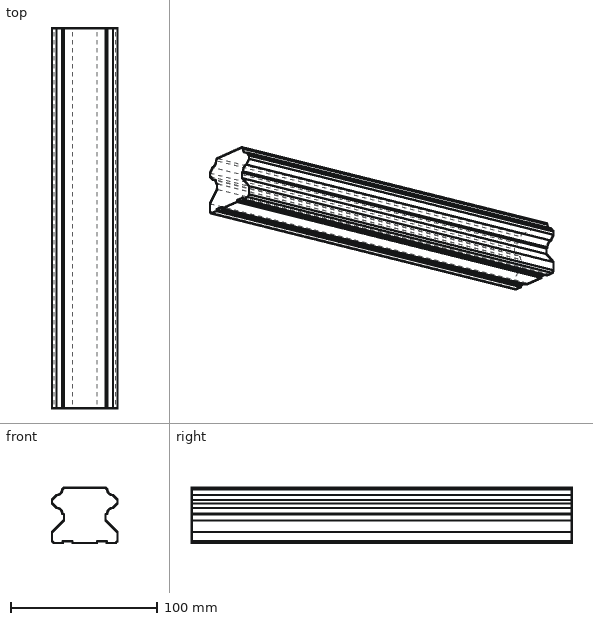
import cadquery as cq
import math

RAIL_WIDTH = 45.0
RAIL_LENGTH = 260.0
RAIL_HEIGHT = 38.0

HEAD_TOP_WIDTH = 28.7
RACE_EDGE_WIDTH = 30.8
HEAD_LIP_HEIGHT = 1.3
HEAD_FLAT_TOP = 29.65
HEAD_FLAT_BOTTOM = 27.25
HEAD_BEVEL = 3.25

WAIST_TOP = 19.6
FOOT_FLAT_TOP = 7.45
FOOT_CHAMFER = 1.5

RACE_RADIUS = 3.85

RELIEF_INNER = 8.5
RELIEF_OUTER = 15.0
RELIEF_DEPTH = 1.2

half_width = RAIL_WIDTH / 2
half_waist = HEAD_TOP_WIDTH / 2
half_race_edge = RACE_EDGE_WIDTH / 2
head_middle = (HEAD_FLAT_TOP + HEAD_FLAT_BOTTOM) / 2
race_edge_top = RAIL_HEIGHT - HEAD_LIP_HEIGHT
race_edge_bottom = 2 * head_middle - race_edge_top
bevel_x = half_width - HEAD_BEVEL
waist_bottom = FOOT_FLAT_TOP + half_width - half_waist

upper_race_start = (half_race_edge, race_edge_top)
upper_race_end = (bevel_x, HEAD_FLAT_TOP + HEAD_BEVEL)
lower_race_start = (bevel_x, HEAD_FLAT_BOTTOM - HEAD_BEVEL)
lower_race_end = (half_race_edge, race_edge_bottom)


def race_midpoint(start, end, bulge_z_sign):
    """Middle point of a raceway arc bulging into the rail: toward -X, and up or down by the sign."""
    run = end[0] - start[0]
    rise = end[1] - start[1]
    chord = math.hypot(run, rise)
    sagitta = RACE_RADIUS - math.sqrt(RACE_RADIUS**2 - (chord / 2) ** 2)
    middle_x = (start[0] + end[0]) / 2
    middle_z = (start[1] + end[1]) / 2
    return (
        middle_x - sagitta * abs(rise) / chord,
        middle_z + bulge_z_sign * sagitta * abs(run) / chord,
    )


def make_half_rail():
    """Right half of the rail, extruded along Y and centred on the origin."""
    upper_middle = race_midpoint(upper_race_start, upper_race_end, -1)
    lower_middle = race_midpoint(lower_race_start, lower_race_end, 1)
    return (
        cq.Workplane("XZ")
        .moveTo(0, RAIL_HEIGHT)
        .lineTo(half_waist, RAIL_HEIGHT)
        .lineTo(*upper_race_start)
        .threePointArc(upper_middle, upper_race_end)
        .lineTo(half_width, HEAD_FLAT_TOP)
        .lineTo(half_width, HEAD_FLAT_BOTTOM)
        .lineTo(*lower_race_start)
        .threePointArc(lower_middle, lower_race_end)
        .lineTo(half_waist, WAIST_TOP)
        .lineTo(half_waist, waist_bottom)
        .lineTo(half_width, FOOT_FLAT_TOP)
        .lineTo(half_width, FOOT_CHAMFER)
        .lineTo(half_width - FOOT_CHAMFER, 0)
        .lineTo(RELIEF_OUTER, 0)
        .lineTo(RELIEF_OUTER, RELIEF_DEPTH)
        .lineTo(RELIEF_INNER, RELIEF_DEPTH)
        .lineTo(RELIEF_INNER, 0)
        .lineTo(0, 0)
        .close()
        .extrude(RAIL_LENGTH / 2, both=True)
    )


half_rail = make_half_rail()
result = half_rail.union(half_rail.mirror("YZ")).clean()